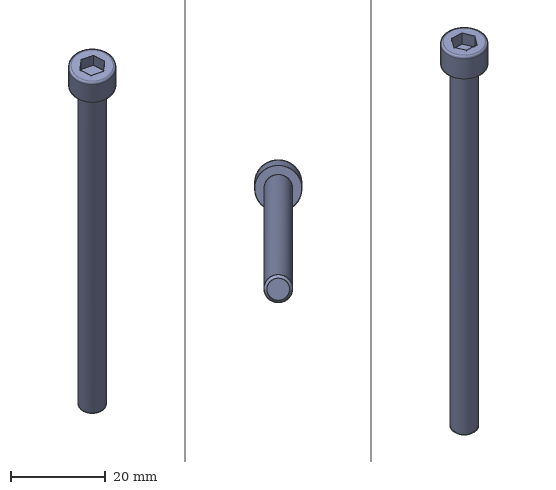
import cadquery as cq
import math

total_length = 106.0
shank_diameter = 6.0
head_diameter = 10.0
head_height = shank_diameter
shank_length = total_length - head_height

head_edge_round = 0.5
tip_chamfer = 0.6

hex_across_flats = 5.0
hex_across_corners = hex_across_flats / math.cos(math.pi / 6)
socket_depth = head_height / 2


def make_head():
    """Cylindrical head resting on Z = 0, with a rounded upper rim."""
    head = cq.Workplane("XY").circle(head_diameter / 2).extrude(head_height)
    return head.faces(">Z").edges().fillet(head_edge_round)


def make_shank():
    """Plain shank hanging below the head, chamfered at its tip."""
    shank = cq.Workplane("XY").circle(shank_diameter / 2).extrude(-shank_length)
    return shank.faces("<Z").edges().chamfer(tip_chamfer)


def make_socket():
    """Hexagonal drive recess with two corners on the X axis."""
    top = cq.Workplane("XY").workplane(offset=head_height)
    return top.polygon(6, hex_across_corners).extrude(-socket_depth)


result = make_head().union(make_shank()).cut(make_socket())